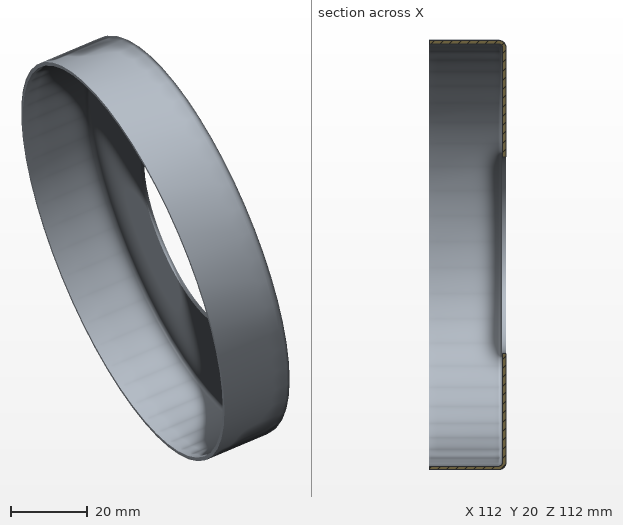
import cadquery as cq

outer_diameter = 112.0
depth = 20.0
wall = 1.0
hole_diameter = 51.1
outer_fillet = 2.0
inner_fillet = outer_fillet - wall


def disc(diameter, length):
    """Cylinder along +Y, starting at the open rim (Y = 0)."""
    return cq.Workplane("XZ").circle(diameter / 2).extrude(-length)


body = disc(outer_diameter, depth).faces(">Y").edges().fillet(outer_fillet)
cavity = disc(outer_diameter - 2 * wall, depth - wall).faces(">Y").edges().fillet(inner_fillet)

hole = disc(hole_diameter, depth)

result = body.cut(cavity).cut(hole)